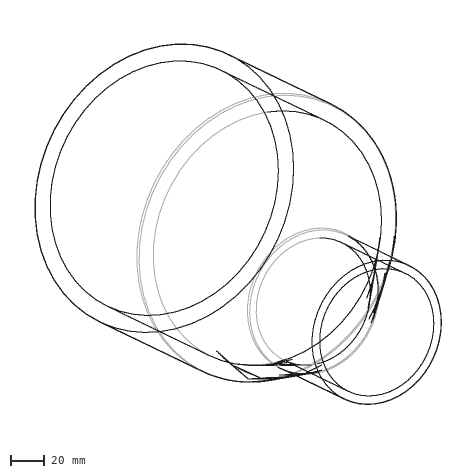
import cadquery as cq

total_length = 342.0
large_length = 127.2
small_length = 78.3
large_outer_diameter = 180.0
large_bore_diameter = 158.7
small_outer_diameter = 90.0
small_bore_diameter = 79.5
bend_half_length = 1.5

taper_start = large_length
taper_end = total_length - small_length
taper_length = taper_end - taper_start
small_axis_y = -(large_outer_diameter - small_outer_diameter) / 2


def loft_circles(sections, ruled):
    """Loft through circles given as (x, axis y, diameter)."""
    wires = [
        cq.Wire.makeCircle(diameter / 2, cq.Vector(x, axis_y, 0), cq.Vector(1, 0, 0))
        for x, axis_y, diameter in sections
    ]
    return cq.Workplane(cq.Solid.makeLoft(wires, ruled))


def reducer_body(large_diameter, small_diameter, bend):
    """Solid of two offset pipes and an oblique taper, with joints rounded over +/- bend."""

    def section(x, fraction):
        diameter = large_diameter + fraction * (small_diameter - large_diameter)
        return (x, fraction * small_axis_y, diameter)

    bend_fraction = bend / taper_length
    corner_fraction = bend_fraction / 4
    large_bend = [
        section(taper_start - bend, 0),
        section(taper_start, corner_fraction),
        section(taper_start + bend, bend_fraction),
    ]
    small_bend = [
        section(taper_end - bend, 1 - bend_fraction),
        section(taper_end, 1 - corner_fraction),
        section(taper_end + bend, 1),
    ]
    body = loft_circles([large_bend[-1], small_bend[0]], True)
    if bend > 0:
        body = body.union(loft_circles(large_bend, False)).union(loft_circles(small_bend, False))

    large_pipe = cq.Workplane("YZ").circle(large_diameter / 2).extrude(taper_start - bend)
    small_pipe = (
        cq.Workplane("YZ", origin=(taper_end + bend, small_axis_y, 0))
        .circle(small_diameter / 2)
        .extrude(small_length - bend)
    )
    return body.union(large_pipe).union(small_pipe)


outer_body = reducer_body(large_outer_diameter, small_outer_diameter, bend_half_length)
bore = reducer_body(large_bore_diameter, small_bore_diameter, 0)
result = outer_body.cut(bore)